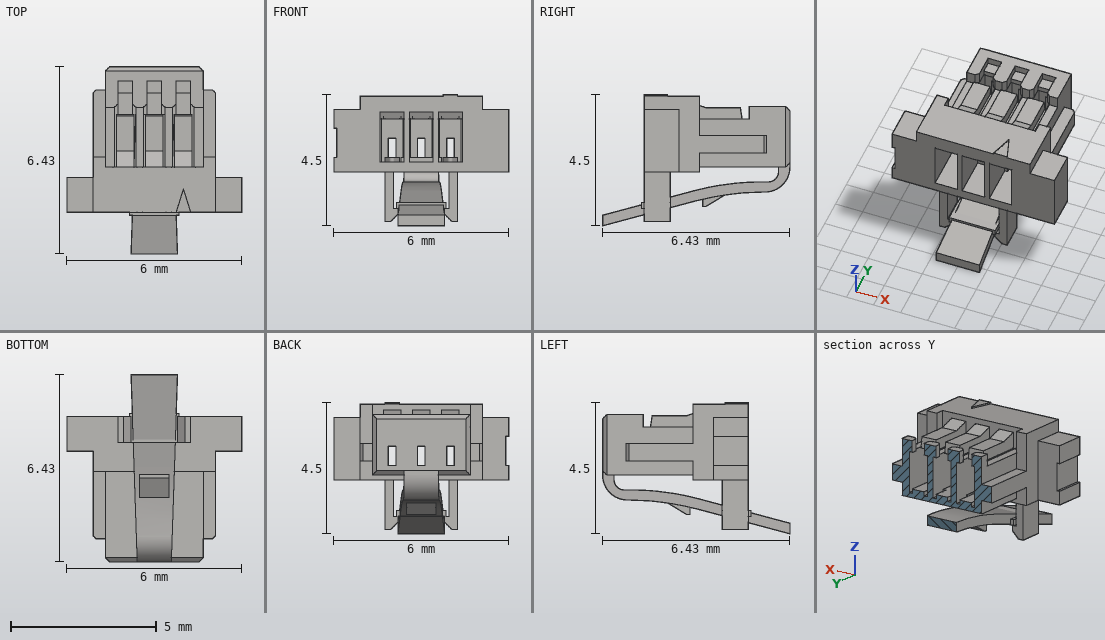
import cadquery as cq
import math


pitch = 1.0
contact_count = 3
contact_xs = [(i - (contact_count - 1) / 2) * pitch for i in range(contact_count)]

front_half_width = 2.1
front_depth = 1.9
front_height = 2.6
ear_half_span = 3.0
ear_depth = 1.2
ear_height = 2.15
groove_depth = 0.1
groove_bottom = 0.5
groove_height = 1.0
mark_x = contact_xs[-1]
mark_half_width = 0.25
mark_length = 0.8
mark_height = 0.05

mating_half_width = 1.68
mating_end = 5.0
mating_bottom = 0.17
mating_top = 2.25
mating_chamfer = 0.15
step_start = 1.55
step_end = 3.6
step_floor = 1.82
rail_end = 4.2
rail_bottom = 0.65
rail_height = 0.6
rail_chamfer = 0.1

cavity_floor = 0.35
mouth_half_width = 0.41
mouth_top = 2.06
mouth_ramp_start = 1.43
channel_half_width = 0.37
shelf_start = 4.1
slot_half_width = 0.25
slot_end = 4.5
slot_floor = 2.0
slot_lead_in = channel_half_width - slot_half_width
window_half_width = 0.125
window_top = 1.15

lance_half_width = 0.3
lance_bottom = step_floor
lance_top = 2.21
lance_root_top = 2.4
lance_slope_end = 2.11
lance_tip_top = 3.3
lance_tip_bottom = 3.36

sill_top = 0.5
rib_front = 2.5
rib_nose_length = 0.4
rib_nose_radius = 0.1
pad_start = mouth_ramp_start
pad_front_half_width = 0.7
pad_rear_half_width = 0.64
pad_end = lance_tip_bottom

lever_rear_half_width = 0.585
lever_front_half_width = 0.8
lever_front = -1.43
lever_angle = math.radians(15)
lever_upper_flat = -0.335
lever_lower_flat = -0.69
lever_lower_tip = -1.85
lever_upper_tip = -1.48
lever_root_front = 4.6
outer_bend_radius = 0.86
inner_bend_radius = 0.34
bend_tangent = 1.2
root_top = mating_bottom + mating_chamfer
tooth_half_width = 0.5
tooth_start = 2.92
tooth_root = -0.7
tooth_tip = 2.11
tooth_front = 2.0
tooth_bottom = -1.19

leg_inner = 0.95
leg_outer = 1.25
leg_depth = 0.9
leg_bottom = -1.7
hook_top = -1.25
hook_tip = 0.79
hook_tip_bottom = -1.44
hook_toe = 1.05
bar_half_width = 0.85
bar_top = -1.04
bar_front = -0.1


def box(x0, x1, y0, y1, z0, z1):
    """Axis-aligned block between the given limits."""
    return cq.Workplane("XY").box(x1 - x0, y1 - y0, z1 - z0, centered=False).translate((x0, y0, z0))


def side_prism(points, half_width, x=0.0):
    """Prism with a (Y, Z) outline, extruded evenly to both sides of x."""
    return cq.Workplane("YZ").polyline(points).close().extrude(half_width, both=True).translate((x, 0, 0))


def plan_prism(points, z0, z1, x=0.0):
    """Prism with an (X, Y) outline between two heights."""
    return cq.Workplane("XY").polyline(points).close().extrude(z1 - z0).translate((x, 0, z0))


def make_shell():
    """Outside of the housing, before the cavities are cut."""
    front = box(-front_half_width, front_half_width, 0, front_depth, 0, front_height)
    ears = box(-ear_half_span, ear_half_span, 0, ear_depth, 0, ear_height)
    groove = box(-ear_half_span, groove_depth - ear_half_span, 0, ear_depth,
                 groove_bottom, groove_bottom + groove_height)
    mating = box(-mating_half_width, mating_half_width, 0, mating_end, mating_bottom, mating_top)
    mating = mating.faces(">Y").chamfer(mating_chamfer)
    rails = box(-front_half_width, front_half_width, 0, rail_end, rail_bottom, rail_bottom + rail_height)
    rails = rails.faces(">Y").edges("|Z").chamfer(rail_chamfer)
    step = box(-mating_half_width, mating_half_width, step_start, step_end, step_floor, front_height)
    mark = plan_prism([(-mark_half_width, 0), (mark_half_width, 0), (0, mark_length)],
                      front_height, front_height + mark_height, mark_x)
    return front.union(ears).cut(groove).union(mating).union(rails).cut(step).union(mark)


def make_cavity(x):
    """Space for one contact: mouth, channel, top slot and test window."""
    mouth = side_prism([(0, cavity_floor), (0, mouth_top), (mouth_ramp_start, mouth_top),
                        (step_start, lance_bottom), (step_start, cavity_floor)], mouth_half_width, x)
    channel = box(x - channel_half_width, x + channel_half_width, step_start, slot_end,
                  cavity_floor, lance_bottom)
    open_top = plan_prism([(-channel_half_width, step_start), (channel_half_width, step_start),
                           (channel_half_width, step_end), (slot_half_width, step_end + slot_lead_in),
                           (-slot_half_width, step_end + slot_lead_in), (-channel_half_width, step_end)],
                          cavity_floor, mating_top, x)
    slot = box(x - slot_half_width, x + slot_half_width, step_end, shelf_start, cavity_floor, mating_top)
    shelf = box(x - slot_half_width, x + slot_half_width, step_end, slot_end, slot_floor, mating_top)
    window = box(x - window_half_width, x + window_half_width, step_end, mating_end, sill_top, window_top)
    return mouth.union(channel).union(open_top).union(slot).union(shelf).union(window)


def make_lance(x):
    """Cantilever that hangs from the front block over one cavity."""
    return side_prism([(step_start, lance_bottom), (step_start, lance_root_top), (lance_slope_end, lance_top),
                       (lance_tip_top, lance_top), (lance_tip_bottom, lance_bottom)], lance_half_width, x)


def make_floor_rib(x):
    """Raised floor rib with a round-tipped nose toward the front."""
    nose = [(-slot_half_width, slot_end), (-slot_half_width, rib_front),
            (0, rib_front - rib_nose_length), (slot_half_width, rib_front), (slot_half_width, slot_end)]
    rib = plan_prism(nose, cavity_floor, sill_top, x)
    return rib.edges("|Z").edges("<Y").fillet(rib_nose_radius)


def make_housing():
    """Shell with its cavities, lances, floor ribs and the tapered pad across the middle cavity."""
    housing = make_shell()
    for x in contact_xs:
        housing = housing.cut(make_cavity(x))
    for x in contact_xs:
        housing = housing.union(make_lance(x)).union(make_floor_rib(x))
    pad = plan_prism([(-pad_front_half_width, pad_start), (pad_front_half_width, pad_start),
                      (pad_rear_half_width, pad_end), (-pad_rear_half_width, pad_end)],
                     cavity_floor, sill_top)
    return housing.union(pad)


def bend_points(flat_z, tip_z):
    """Ends of the gentle bend from the level stretch to the sloping handle."""
    corner_y = lever_front + (flat_z - tip_z) / math.tan(lever_angle)
    end_y = corner_y - bend_tangent * math.cos(lever_angle)
    end_z = flat_z - bend_tangent * math.sin(lever_angle)
    return (corner_y + bend_tangent, flat_z), (end_y, end_z)


def make_lever():
    """Curved spring lever, its stop tooth and its widening plan shape."""
    upper_start, upper_end = bend_points(lever_upper_flat, lever_upper_tip)
    lower_start, lower_end = bend_points(lever_lower_flat, lever_lower_tip)
    lever = (
        cq.Workplane("YZ")
        .moveTo(lever_root_front, root_top)
        .lineTo(lever_root_front, lever_upper_flat + inner_bend_radius)
        .tangentArcPoint((lever_root_front - inner_bend_radius, lever_upper_flat), relative=False)
        .lineTo(*upper_start)
        .tangentArcPoint(upper_end, relative=False)
        .lineTo(lever_front, lever_upper_tip)
        .lineTo(lever_front, lever_lower_tip)
        .lineTo(*lower_end)
        .tangentArcPoint(lower_start, relative=False)
        .lineTo(mating_end - outer_bend_radius, lever_lower_flat)
        .tangentArcPoint((mating_end, lever_lower_flat + outer_bend_radius), relative=False)
        .lineTo(mating_end, root_top)
        .close()
        .extrude(lever_front_half_width, both=True)
    )
    tooth = side_prism([(tooth_start, tooth_root), (tooth_tip, tooth_bottom),
                        (tooth_front, tooth_bottom), (tooth_front, tooth_root)], tooth_half_width)
    plan = plan_prism([(-lever_rear_half_width, mating_end), (-lever_front_half_width, lever_front),
                       (lever_front_half_width, lever_front), (lever_rear_half_width, mating_end)],
                      lever_lower_tip, root_top)
    return lever.union(tooth).intersect(plan)


def make_leg(side):
    """Hooked leg on one side of the lever; side is -1 or +1."""
    outline = [(leg_outer, 0), (leg_inner, 0), (leg_inner, hook_top), (hook_tip, hook_top),
               (hook_tip, hook_tip_bottom), (hook_toe, leg_bottom), (leg_outer, leg_bottom)]
    outline = [(side * x, z) for x, z in outline]
    return cq.Workplane("XZ").polyline(outline).close().extrude(-leg_depth)


def make_latch():
    """Lever whose cross bar rests on, and joins, the hooks of both legs."""
    bar = box(-bar_half_width, bar_half_width, bar_front, leg_depth, hook_top, bar_top)
    latch = make_lever().union(bar)
    for side in (-1, 1):
        latch = latch.union(make_leg(side))
    return latch.cut(make_shell())


housing = make_housing()
latch = make_latch()
result = cq.Compound.makeCompound([housing.val(), latch.val()])